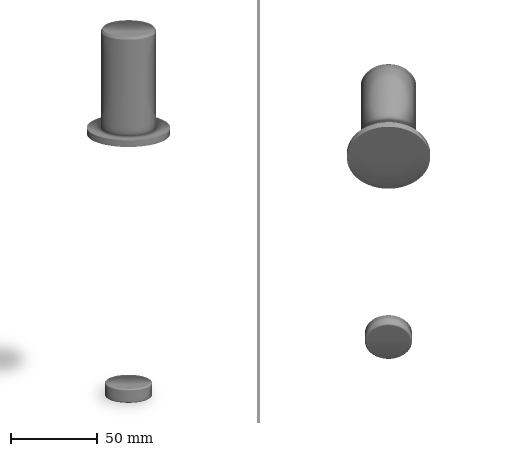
import cadquery as cq

total_height = 223.0

pin_height = 64.0
flange_diameter = 48.0
flange_thickness = 4.0
shaft_diameter = 32.0
shaft_chamfer_height = 1.5
shaft_chamfer_inset = 1.0

disc_diameter = 27.2
disc_thickness = 8.5
disc_rim_radius = 1.0


def make_pin():
    """Round shaft with a steeply chamfered top, standing on a wider flange."""
    flange_bottom = total_height - pin_height
    flange = (
        cq.Workplane("XY", origin=(0, 0, flange_bottom))
        .circle(flange_diameter / 2)
        .extrude(flange_thickness)
    )
    shaft = (
        cq.Workplane("XY", origin=(0, 0, flange_bottom))
        .circle(shaft_diameter / 2)
        .extrude(pin_height)
        .faces(">Z")
        .chamfer(shaft_chamfer_height, shaft_chamfer_inset)
    )
    return flange.union(shaft)


def make_disc():
    """Flat disc with both rims rounded."""
    return (
        cq.Workplane("XY")
        .circle(disc_diameter / 2)
        .extrude(disc_thickness)
        .faces("<Z or >Z")
        .fillet(disc_rim_radius)
    )


pin = make_pin()
disc = make_disc()

result = cq.Compound.makeCompound([pin.val(), disc.val()])